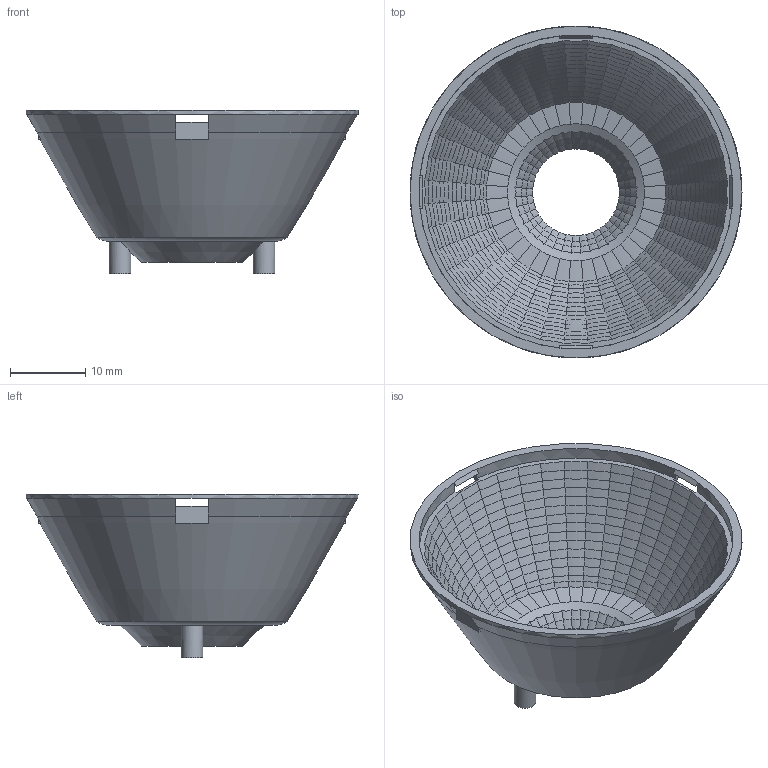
import cadquery as cq
import math


rim_radius = 22.0
rim_depth = 0.55
collar_radius = 20.65
collar_depth = 2.9
bowl_mid_radius = 17.2
bowl_mid_depth = 9.2
bowl_bottom_radius = 12.6
bowl_bottom_depth = 16.85
bottom_round_radius = 12.1
bottom_round_depth = 17.12
base_radius = 11.05
base_depth = 17.35
neck_top_radius = 9.6
neck_bottom_radius = 6.7
neck_bottom_depth = 20.15

recess_radius = 20.8
ledge_depth = 1.55

facet_count = 40
facet_bulge = 0.06
mirror_top_radius = 20.0
mirror_bottom_radius = 11.85
mirror_bottom_depth = 16.15
mirror_sagitta = 0.41
tall_row_count = 13
short_row_count = 2
short_row_ratio = 0.65
floor_inner_radius = 9.08
floor_inner_depth = 16.55

throat_radius = 7.95
throat_depth = 17.2
throat_rows = [(throat_radius, throat_depth), (7.18, 18.1), (6.5, 19.1), (5.72, neck_bottom_depth)]

window_count = 4
window_width = 4.25
pad_distance = 20.33
pad_bottom_depth = 3.85
pad_root_distance = 19.0
lip_top_distance = 20.75
lip_root_distance = 21.2

pin_radius = 1.43
pin_offset = 9.55
pin_bottom_depth = 21.65
pin_root_depth = 17.0

overlap = 0.4


def outer_body():
    """Solid of revolution bounded by the outside of the cup."""
    return (
        cq.Workplane("XZ")
        .moveTo(0, 0)
        .lineTo(rim_radius, 0)
        .lineTo(rim_radius, -rim_depth)
        .lineTo(collar_radius, -collar_depth)
        .threePointArc((bowl_mid_radius, -bowl_mid_depth), (bowl_bottom_radius, -bowl_bottom_depth))
        .threePointArc((bottom_round_radius, -bottom_round_depth), (base_radius, -base_depth))
        .lineTo(neck_top_radius, -base_depth)
        .lineTo(neck_bottom_radius, -neck_bottom_depth)
        .lineTo(0, -neck_bottom_depth)
        .close()
        .revolve(360, (0, 0, 0), (0, 1, 0))
    )


def pins():
    height = pin_bottom_depth - pin_root_depth
    return (
        cq.Workplane("XY")
        .workplane(offset=-pin_bottom_depth)
        .pushPoints([(-pin_offset, 0), (pin_offset, 0)])
        .circle(pin_radius)
        .extrude(height)
    )


def extend(start, end, radial_step):
    """Point on the line from start to end, carried past end by a radial step."""
    slope = (end[1] - start[1]) / (end[0] - start[0])
    direction = math.copysign(1, end[0] - start[0])
    step = direction * radial_step
    return (end[0] + step, end[1] + slope * step)


def mirror_point(fraction):
    """Point (radius, depth) on the parabola from the mirror's top edge to its bottom edge."""
    radius_change = mirror_bottom_radius - mirror_top_radius
    depth_change = mirror_bottom_depth - ledge_depth
    chord = math.hypot(radius_change, depth_change)
    bow = 4 * mirror_sagitta * fraction * (1 - fraction)
    radius = mirror_top_radius + fraction * radius_change + bow * depth_change / chord
    depth = ledge_depth + fraction * depth_change - bow * radius_change / chord
    return (radius, depth)


def facet_ring(middle_radius, depth):
    """Closed ring of shallow arcs bulging toward the axis, with an arc centred on the X axis."""
    half_angle = math.pi / facet_count
    corner_radius = (middle_radius + facet_bulge) / math.cos(half_angle)

    def at(radius, angle):
        return cq.Vector(radius * math.cos(angle), radius * math.sin(angle), -depth)

    arcs = []
    for i in range(facet_count):
        middle = 2 * half_angle * i
        arcs.append(
            cq.Edge.makeThreePointArc(
                at(corner_radius, middle - half_angle),
                at(middle_radius, middle),
                at(corner_radius, middle + half_angle),
            )
        )
    return cq.Wire.assembleEdges(arcs)


def faceted_volume(rows):
    rings = [facet_ring(radius, depth) for radius, depth in rows]
    return cq.Workplane(cq.Solid.makeLoft(rings, True))


def mirror_cavity():
    """Rows of mirror facets, then the gently sloping facets of the floor."""
    row_sizes = [1] * tall_row_count + [short_row_ratio] * short_row_count
    total_size = sum(row_sizes)
    rows = [mirror_point(sum(row_sizes[:i]) / total_size) for i in range(len(row_sizes) + 1)]
    rows.append(extend(rows[-1], (floor_inner_radius, floor_inner_depth), overlap))
    return faceted_volume(rows)


def rim_recess():
    return cq.Workplane("XY").circle(recess_radius).extrude(-ledge_depth)


def throat_cone():
    floor_edge = (floor_inner_radius, floor_inner_depth)
    throat_edge = (throat_radius, throat_depth)
    top_radius, top_depth = extend(throat_edge, floor_edge, overlap)
    return (
        cq.Workplane("XZ")
        .moveTo(0, -top_depth)
        .lineTo(top_radius, -top_depth)
        .lineTo(throat_radius, -throat_depth)
        .lineTo(0, -throat_depth)
        .close()
        .revolve(360, (0, 0, 0), (0, 1, 0))
    )


def throat_cavity():
    lead_in = extend(throat_rows[1], throat_rows[0], overlap / 2)
    lead_out = extend(throat_rows[-2], throat_rows[-1], overlap / 2)
    return faceted_volume([lead_in] + throat_rows[1:-1] + [lead_out])


def at_each_window(solid):
    """Copies of a solid made on the +X side, one at each window."""
    copies = cq.Workplane("XY")
    for i in range(window_count):
        copies = copies.add(solid.rotate((0, 0, 0), (0, 0, 1), i * 360 / window_count))
    return copies.combine()


def window_block(inner_distance, outer_distance, top_depth, bottom_depth):
    """Window-wide block on the +X side, between two distances from the axis and two depths."""
    length = outer_distance - inner_distance
    height = bottom_depth - top_depth
    return (
        cq.Workplane("XY")
        .box(length, window_width, height, centered=(False, True, False))
        .translate((inner_distance, 0, -bottom_depth))
    )


def pads():
    return at_each_window(window_block(pad_root_distance, pad_distance, ledge_depth, pad_bottom_depth))


def windows():
    return at_each_window(window_block(pad_distance, rim_radius, rim_depth, pad_bottom_depth))


def lips():
    """Wedges under the rim's inner edge, sloping inward until they stand above the pad faces."""
    lip = (
        cq.Workplane("XZ")
        .polyline([
            (lip_top_distance, 0),
            (lip_root_distance, 0),
            (lip_root_distance, -rim_depth),
            (pad_distance, -rim_depth),
        ])
        .close()
        .extrude(window_width / 2, both=True)
    )
    return at_each_window(lip)


result = (
    outer_body()
    .union(pins())
    .union(pads())
    .cut(rim_recess())
    .cut(mirror_cavity())
    .cut(throat_cone())
    .cut(throat_cavity())
    .cut(windows())
    .union(lips())
)